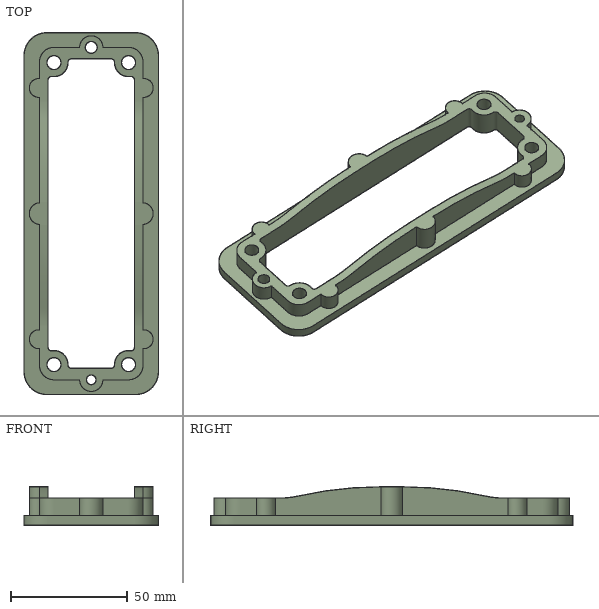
import cadquery as cq

flange_width = 58.0
flange_length = 156.0
flange_thickness = 4.4
flange_corner_radius = 10.0

rim_width = 44.6
rim_length = 143.2
rim_corner_radius = 6.2
rim_top = 11.9
opening_width = 37.1
opening_length = 133.2
opening_fillet = 1.4

crest_top = 16.7
crest_flat_half = 5.0
crest_curve_change = 40.1
crest_foot = 48.2

corner_hole_x = 16.0
corner_hole_y = 65.0
corner_hole_diameter = 6.0
corner_boss_radius = 6.1
end_hole_y = rim_length / 2
back_hole_diameter = 5.0
front_hole_diameter = 4.0
end_boss_radius = 5.0

side_boss_reach = 26.7
outer_side_boss_radius = 4.0
outer_side_boss_y = 54.1
middle_side_boss_radius = 4.7

corner_points = [(sx * corner_hole_x, sy * corner_hole_y) for sx in (-1, 1) for sy in (-1, 1)]


def rounded_block(width, length, height, radius):
    """Block standing on Z = 0 with rounded vertical corners."""
    block = cq.Workplane("XY").rect(width, length).extrude(height)
    return block.edges("|Z").fillet(radius)


def cylinders(points, radius, height):
    """Vertical cylinders standing on Z = 0."""
    return cq.Workplane("XY").pushPoints(points).circle(radius).extrude(height)


def side_bosses(y_places, radius, height):
    """Bosses on both long walls, all reaching equally far outward."""
    x = side_boss_reach - radius
    points = [(side * x, y) for side in (-1, 1) for y in y_places]
    return cylinders(points, radius, height)


def crest_body():
    """Arched solid across the rim; each slope is two tangent arcs, concave then convex."""
    concave_share = (crest_foot - crest_curve_change) / (crest_foot - crest_flat_half)
    change_height = rim_top + concave_share * (crest_top - rim_top)
    return (
        cq.Workplane("YZ", origin=(-rim_width / 2, 0, 0))
        .moveTo(-outer_side_boss_y, rim_top)
        .lineTo(-crest_foot, rim_top)
        .tangentArcPoint((-crest_curve_change, change_height), relative=False)
        .tangentArcPoint((-crest_flat_half, crest_top), relative=False)
        .lineTo(crest_flat_half, crest_top)
        .tangentArcPoint((crest_curve_change, change_height), relative=False)
        .tangentArcPoint((crest_foot, rim_top), relative=False)
        .lineTo(outer_side_boss_y, rim_top)
        .lineTo(outer_side_boss_y, 0)
        .lineTo(-outer_side_boss_y, 0)
        .close()
        .extrude(rim_width)
    )


def opening():
    """Central through opening, narrowed at its corners by the screw bosses."""
    window = cq.Workplane("XY").rect(opening_width, opening_length).extrude(crest_top)
    window = window.cut(cylinders(corner_points, corner_boss_radius, crest_top))
    window = window.solids(cq.selectors.NearestToPointSelector((0, 0, crest_top / 2)))
    window = cq.Workplane(window.val()).edges("|Z")
    return window.fillet(opening_fillet)


flange = rounded_block(flange_width, flange_length, flange_thickness, flange_corner_radius)
rim = rounded_block(rim_width, rim_length, rim_top, rim_corner_radius)
end_points = [(0, -end_hole_y), (0, end_hole_y)]

body = (
    flange.union(rim)
    .union(crest_body())
    .union(cylinders(end_points, end_boss_radius, rim_top))
    .union(side_bosses((-outer_side_boss_y, outer_side_boss_y), outer_side_boss_radius, rim_top))
    .union(side_bosses((0,), middle_side_boss_radius, crest_top))
)

result = (
    body.cut(opening())
    .cut(cylinders(corner_points, corner_hole_diameter / 2, rim_top))
    .cut(cylinders([(0, end_hole_y)], back_hole_diameter / 2, rim_top))
    .cut(cylinders([(0, -end_hole_y)], front_hole_diameter / 2, rim_top))
)